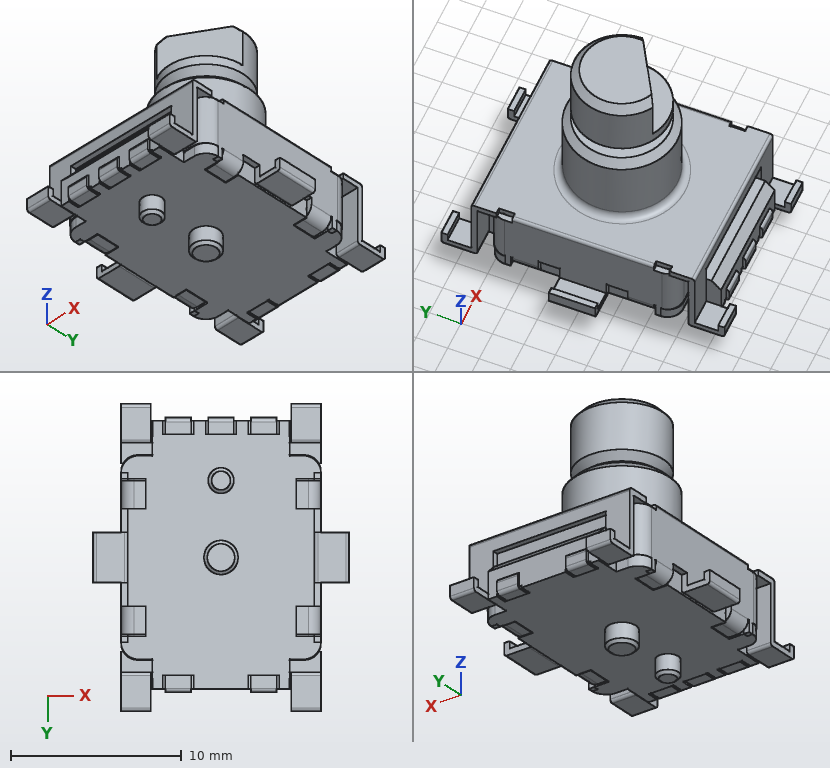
import cadquery as cq
import math


sheet = 0.4
bend_radius = 0.2
cover_top = 4.5
plate_bottom = cover_top - sheet
cover_half_x = 5.85
cover_half_y = 7.1
foot_tip_y = 9.0
tab_tip_x = 7.5
tip_height = 0.9
tab_width = 2.95
window_half_x = 4.1
window_top = 3.45

skirt_half_y = 6.0
corner_radius = 1.0
core_half_x = cover_half_x - sheet
core_half_y = skirt_half_y - sheet
core_corner_radius = corner_radius - sheet
panel_bottom = 0.75
relief_start_y = 4.5
relief_end_y = 5.5
slot_end_y = 2.85
lug_start_y = 4.6
lug_end_y = 4.95
lug_top = 0.7
slot_top = 1.23
crimp_end_x = 4.4

bushing_diameter = 7.0
bushing_top = 9.5
bushing_chamfer = 0.5
bushing_fillet = 0.5
bore_diameter = 3.0

neck_diameter = 2.99
knob_diameter = 6.0
knob_bottom = 9.87
knob_top = 14.0
knob_chamfer = 0.5
flat_bottom = 11.0
flat_distance = 1.5
flat_angle = -60

base_bottom = -0.05
flange_top = 2.4
leg_half_y = lug_end_y + corner_radius
flange_half_x = 4.02
flange_front_y = -8.0
flange_back_y = 7.7
flange_chamfer = 0.6
peg_bottom = -1.3
peg_chamfer = 0.2
center_peg_diameter = 2.0
front_peg_diameter = 1.5
front_peg_y = -4.5

terminal_pitch = 2.5
terminal_width = 1.5
terminal_thickness = 0.19
terminal_top = 1.0
terminal_bend_radius = 0.25
terminal_foot_height = 0.15
terminal_foot_length = 0.8
terminal_slot_width = 1.8
front_terminals_x = [-terminal_pitch, 0, terminal_pitch]
back_terminals_x = [-terminal_pitch, terminal_pitch]

ARC_MIDDLE = 1 - math.sqrt(0.5)


def block(x0, x1, y0, y1, z0, z1):
    """Axis-aligned box between two opposite corners."""
    return cq.Workplane("XY").box(x1 - x0, y1 - y0, z1 - z0, centered=False).translate((x0, y0, z0))


def rounded_block(half_x, half_y, radius, z0, z1):
    """Centred upright block with rounded vertical edges."""
    return block(-half_x, half_x, -half_y, half_y, z0, z1).edges("|Z").fillet(radius)


def on_both_sides(body, plane):
    """The body joined with its mirror image."""
    return body.union(body.mirror(plane))


def bent_sheet(plane, outer, tip, width):
    """Wall hanging from the plate, bent outward into a foot with an upturned tip."""
    inner = outer - sheet
    r = bend_radius
    m = r * ARC_MIDDLE
    outline = (
        cq.Workplane(plane)
        .moveTo(inner, cover_top)
        .lineTo(inner, r)
        .threePointArc((inner + m, m), (inner + r, 0))
        .lineTo(tip - r, 0)
        .threePointArc((tip - m, m), (tip, r))
        .lineTo(tip, tip_height)
        .lineTo(tip - sheet, tip_height)
        .lineTo(tip - sheet, sheet)
        .lineTo(outer, sheet)
        .lineTo(outer, cover_top - r)
        .threePointArc((outer - m, cover_top - m), (outer - r, cover_top))
        .close()
    )
    return outline.extrude(width / 2, both=True)


def crimp(y0, y1):
    """Lug of the +X side of the skirt, curled inward under the base."""
    outer_m = panel_bottom * ARC_MIDDLE
    inner_r = panel_bottom - sheet
    inner_m = sheet + inner_r * ARC_MIDDLE
    outline = (
        cq.Workplane("XZ", origin=(0, y1, 0))
        .moveTo(cover_half_x, panel_bottom)
        .threePointArc((cover_half_x - outer_m, outer_m), (cover_half_x - panel_bottom, 0))
        .lineTo(crimp_end_x, 0)
        .lineTo(crimp_end_x, sheet)
        .lineTo(core_half_x - inner_r, sheet)
        .threePointArc((cover_half_x - inner_m, inner_m), (core_half_x, panel_bottom))
        .close()
    )
    return outline.extrude(y1 - y0)


def crimp_clearance(y0, y1):
    """Space in the base for a crimp: its curl, opened down to the bottom of the base."""
    inner_r = panel_bottom - sheet
    inner_m = sheet + inner_r * ARC_MIDDLE
    outline = (
        cq.Workplane("XZ", origin=(0, y1, 0))
        .moveTo(crimp_end_x, base_bottom)
        .lineTo(crimp_end_x, sheet)
        .lineTo(core_half_x - inner_r, sheet)
        .threePointArc((cover_half_x - inner_m, inner_m), (core_half_x, panel_bottom))
        .lineTo(cover_half_x, panel_bottom)
        .lineTo(cover_half_x, base_bottom)
        .close()
    )
    return outline.extrude(y1 - y0)


def all_four(feature):
    """The feature repeated at all four corners."""
    return on_both_sides(on_both_sides(feature, "XZ"), "YZ")


def make_end_walls():
    wall = bent_sheet("YZ", cover_half_y, foot_tip_y, 2 * cover_half_x)
    window = block(-window_half_x, window_half_x, 0, foot_tip_y, 0, window_top)
    return on_both_sides(wall.cut(window), "XZ")


def make_skirt():
    skirt = rounded_block(cover_half_x, skirt_half_y, corner_radius, lug_top, plate_bottom)
    skirt = skirt.cut(
        rounded_block(core_half_x, core_half_y, core_corner_radius, lug_top, plate_bottom)
    )
    skirt = skirt.cut(
        block(-flange_half_x, flange_half_x, -skirt_half_y, skirt_half_y, lug_top, flange_top)
    )
    bend = block(
        core_half_x, cover_half_x, -relief_start_y, relief_start_y, plate_bottom, cover_top
    )
    bend = bend.edges(">X and >Z").fillet(bend_radius)
    skirt = skirt.union(on_both_sides(bend, "YZ"))
    skirt = skirt.cut(
        block(-cover_half_x, cover_half_x, -lug_start_y, lug_start_y, lug_top, panel_bottom)
    )
    lug = block(core_half_x, cover_half_x, lug_start_y, lug_end_y, base_bottom, plate_bottom)
    skirt = skirt.union(all_four(lug))
    skirt = skirt.union(all_four(crimp(slot_end_y, relief_start_y)))
    skirt = skirt.cut(
        all_four(block(core_half_x, cover_half_x, 0, slot_end_y, panel_bottom, slot_top))
    )
    tab = bent_sheet("XZ", cover_half_x, tab_tip_x, tab_width)
    return skirt.union(on_both_sides(tab, "YZ"))


def make_cover():
    plate = block(
        -cover_half_x, cover_half_x, -cover_half_y + sheet, cover_half_y - sheet,
        plate_bottom, cover_top,
    )
    side_strip = block(
        core_half_x, cover_half_x, -relief_end_y, relief_end_y, plate_bottom, cover_top
    )
    plate = plate.cut(on_both_sides(side_strip, "YZ"))
    cover = plate.union(make_end_walls()).union(make_skirt())

    bushing_radius = bushing_diameter / 2
    m = bushing_fillet * ARC_MIDDLE
    bushing = (
        cq.Workplane("XZ")
        .moveTo(0, plate_bottom)
        .lineTo(bushing_radius + bushing_fillet, plate_bottom)
        .lineTo(bushing_radius + bushing_fillet, cover_top)
        .threePointArc((bushing_radius + m, cover_top + m), (bushing_radius, cover_top + bushing_fillet))
        .lineTo(bushing_radius, bushing_top - bushing_chamfer)
        .lineTo(bushing_radius - bushing_chamfer, bushing_top)
        .lineTo(0, bushing_top)
        .close()
        .revolve(360, (0, 0, 0), (0, 1, 0))
    )
    bore = cq.Workplane("XY", origin=(0, 0, plate_bottom)).circle(bore_diameter / 2)
    return cover.union(bushing).cut(bore.extrude(bushing_top - plate_bottom))


def make_shaft():
    knob = (
        cq.Workplane("XY", origin=(0, 0, knob_bottom))
        .circle(knob_diameter / 2)
        .extrude(knob_top - knob_bottom)
        .faces("<Z or >Z")
        .chamfer(knob_chamfer)
    )
    flat = block(
        flat_distance, knob_diameter, -knob_diameter, knob_diameter, flat_bottom, knob_top
    ).rotate((0, 0, 0), (0, 0, 1), flat_angle)
    neck = (
        cq.Workplane("XY", origin=(0, 0, plate_bottom))
        .circle(neck_diameter / 2)
        .extrude(knob_bottom - plate_bottom)
    )
    return knob.cut(flat).union(neck)


def make_peg(y, diameter):
    return (
        cq.Workplane("XY", origin=(0, y, peg_bottom))
        .circle(diameter / 2)
        .extrude(base_bottom - peg_bottom)
        .faces("<Z")
        .chamfer(peg_chamfer)
    )


def make_flange():
    """Terminal block through both windows, with its upper end edges bevelled."""
    shoulder = flange_top - flange_chamfer
    return (
        cq.Workplane("YZ")
        .polyline([
            (flange_front_y, base_bottom),
            (flange_back_y, base_bottom),
            (flange_back_y, shoulder),
            (flange_back_y - flange_chamfer, flange_top),
            (flange_front_y + flange_chamfer, flange_top),
            (flange_front_y, shoulder),
        ])
        .close()
        .extrude(flange_half_x, both=True)
    )


def make_terminal_slot(x, face_y, outward):
    """Open-bottomed slot for a terminal foot, reaching in from the flange end face."""
    ends = sorted([face_y, face_y - outward * terminal_foot_length])
    return block(
        x - terminal_slot_width / 2, x + terminal_slot_width / 2, ends[0], ends[1],
        base_bottom, base_bottom + terminal_foot_height,
    )


def make_base():
    core = rounded_block(core_half_x, core_half_y, core_corner_radius, base_bottom, plate_bottom)
    legs = rounded_block(cover_half_x, leg_half_y, corner_radius, base_bottom, lug_top)
    legs = legs.cut(
        block(-cover_half_x, cover_half_x, -lug_end_y, lug_end_y, base_bottom, lug_top)
    )
    base = core.union(legs)
    base = base.cut(all_four(crimp_clearance(slot_end_y, lug_start_y)))
    base = base.union(make_flange())
    base = base.union(make_peg(0, center_peg_diameter))
    base = base.union(make_peg(front_peg_y, front_peg_diameter))
    for x in front_terminals_x:
        base = base.cut(make_terminal_slot(x, flange_front_y, -1))
    for x in back_terminals_x:
        base = base.cut(make_terminal_slot(x, flange_back_y, 1))
    return base


def make_terminal(x, face_y, outward):
    """L-shaped terminal: upright leaf against the flange face and a foot in the slot."""
    r = terminal_bend_radius
    t = terminal_thickness
    m = r * ARC_MIDDLE
    foot_top = base_bottom + terminal_foot_height
    tip_top = terminal_top - r + math.sqrt(r**2 - (r - t) ** 2)
    outline = (
        cq.Workplane("YZ")
        .moveTo(-terminal_foot_length, base_bottom)
        .lineTo(t - r, base_bottom)
        .threePointArc((t - m, base_bottom + m), (t, base_bottom + r))
        .lineTo(t, terminal_top - r)
        .threePointArc((t - m, terminal_top - m), (0, tip_top))
        .lineTo(0, foot_top)
        .lineTo(-terminal_foot_length, foot_top)
        .close()
    )
    terminal = outline.extrude(terminal_width / 2, both=True)
    if outward < 0:
        terminal = terminal.mirror("XZ")
    return terminal.translate((x, face_y, 0))


base = make_base()
cover = make_cover()
shaft = make_shaft()
terminals = [make_terminal(x, flange_front_y, -1) for x in front_terminals_x]
terminals += [make_terminal(x, flange_back_y, 1) for x in back_terminals_x]

result = cq.Compound.makeCompound(
    [base.val(), cover.val(), shaft.val(), *[terminal.val() for terminal in terminals]]
)